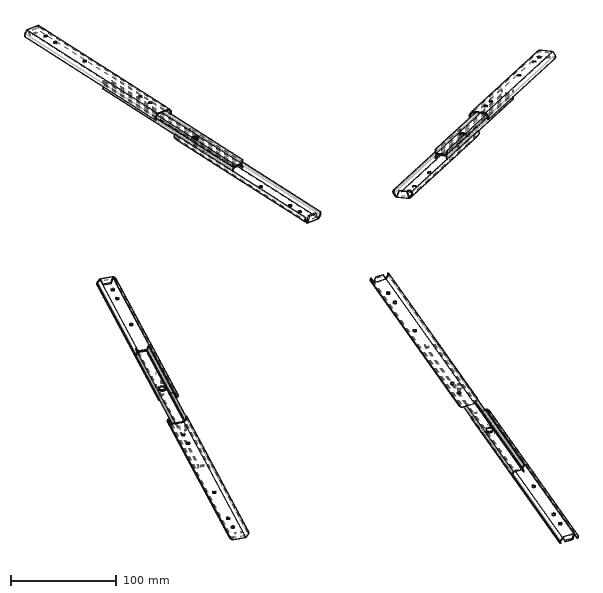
import cadquery as cq
import math

total_length = 429.0
total_height = 16.0
outer_length = 200.0
inner_length = 198.5
outer_start = total_length - outer_length
inner_start = (total_length - inner_length) / 2

outer_half_width = 10.0
outer_web_half_width = 7.0
outer_thickness = 1.2
shoulder_angle = 37.0
side_radius = 3.0
curl_angle = 36.0

stop_thickness = 2.0
stop_base_half_width = 5.8
stop_top_half_width = 4.0
stop_top = 6.5

inner_thickness = 1.0
inner_web_top = total_height / 2
inner_tip_height = 3.5
inner_web_half_width = 5.1
inner_knee_height = 6.2
root_flare_angle = 25.0
tip_flare_angle = 12.0

screw_hole_diameter = 3.4
screw_hole_offsets = [20.0, 35.0, 80.0, 165.0, 180.0]
access_hole_offset = 180.0
access_hole_diameter = 7.0


def polar(center, radius, angle):
    """Point at an angle above the +Y direction, in the YZ section plane."""
    turn = math.radians(angle)
    return (center[0] + radius * math.cos(turn), center[1] + radius * math.sin(turn))


def drill(body, x, diameter):
    """Cut a vertical hole through a body on the rail centre line."""
    cutter = cq.Workplane("XY").center(x, 0).circle(diameter / 2).extrude(total_height)
    return body.cut(cutter)


def make_profile(x, length, start, steps):
    """Extrude along X a section symmetric about Z.

    The right half runs from the start point on the centre line back to the centre line. A step of
    one point is a line; a step of two points is an arc through the first point to the second.
    """
    half = cq.Workplane("YZ", origin=(x, 0, 0)).moveTo(*start)
    for step in steps:
        if len(step) == 1:
            half = half.lineTo(*step[0])
        else:
            half = half.threePointArc(*step)
    right = half.close().extrude(length)
    return right.union(right.mirror("XZ")).clean()


def make_outer_rail():
    """Lower outer rail, open towards +Z, with its stop plate at the +X end."""
    slope = math.radians(shoulder_angle)
    side_y = outer_half_width - side_radius
    side_z = (side_radius - (outer_web_half_width - side_y) * math.cos(slope)) / math.sin(slope)
    side = (side_y, side_z)
    inside_radius = side_radius - outer_thickness
    bend = math.radians(90 - shoulder_angle)
    floor_half_width = outer_web_half_width - outer_thickness * math.tan(bend / 2)

    outside = [polar(side, side_radius, angle) for angle in (-shoulder_angle, 0, curl_angle)]
    inside = [polar(side, inside_radius, angle) for angle in (curl_angle, 0, -shoulder_angle)]
    tip_radius = outer_thickness / 2
    tip_center = polar(side, side_radius - tip_radius, curl_angle)
    tip_end = polar(tip_center, tip_radius, curl_angle + 90)
    rail = make_profile(
        outer_start,
        outer_length,
        (0, 0),
        [
            [(outer_web_half_width, 0)],
            [outside[0]],
            outside[1:],
            [tip_end, inside[0]],
            inside[1:],
            [(floor_half_width, outer_thickness)],
            [(0, outer_thickness)],
        ],
    )
    stop = make_profile(
        total_length - stop_thickness,
        stop_thickness,
        (0, outer_thickness),
        [[(stop_base_half_width, outer_thickness)], [(stop_top_half_width, stop_top)], [(0, stop_top)]],
    )
    rail = rail.union(stop)
    for offset in screw_hole_offsets:
        rail = drill(rail, total_length - offset, screw_hole_diameter)
    return rail


def make_inner_rail():
    """Lower inner rail, open towards -Z."""
    root = math.radians(root_flare_angle)
    flare = math.radians(tip_flare_angle)
    tip_radius = inner_thickness / 2
    web_bottom = inner_web_top - inner_thickness

    knee_y = inner_web_half_width + (inner_web_top - inner_knee_height) * math.tan(root)
    tip_z = inner_tip_height + tip_radius
    tip_y = knee_y + (inner_knee_height - tip_z) * math.tan(flare) - tip_radius / math.cos(flare)
    tip = [polar((tip_y, tip_z), tip_radius, tip_flare_angle - turn) for turn in (0, 90, 180)]
    knee_turn = (root + flare) / 2
    knee_reach = inner_thickness / math.cos((root - flare) / 2)
    inside_knee = (
        knee_y - knee_reach * math.cos(knee_turn),
        inner_knee_height - knee_reach * math.sin(knee_turn),
    )
    ceiling_half_width = inside_knee[0] - (web_bottom - inside_knee[1]) * math.tan(root)
    rail = make_profile(
        inner_start,
        inner_length,
        (0, inner_web_top),
        [
            [(inner_web_half_width, inner_web_top)],
            [(knee_y, inner_knee_height)],
            [tip[0]],
            tip[1:],
            [inside_knee],
            [(ceiling_half_width, web_bottom)],
            [(0, web_bottom)],
        ],
    )
    for x in (access_hole_offset, total_length - access_hole_offset):
        rail = drill(rail, x, access_hole_diameter)
    return rail


def turned_over(body):
    """Half turn about the Y-direction axis through the middle of the assembly."""
    middle = (total_length / 2, 0, total_height / 2)
    return body.rotate(middle, (middle[0], 1, middle[2]), 180)


lower_outer_rail = make_outer_rail()
lower_inner_rail = make_inner_rail()
upper_outer_rail = turned_over(lower_outer_rail)
upper_inner_rail = turned_over(lower_inner_rail)

result = cq.Compound.makeCompound(
    [
        lower_outer_rail.val(),
        lower_inner_rail.val(),
        upper_inner_rail.val(),
        upper_outer_rail.val(),
    ]
)